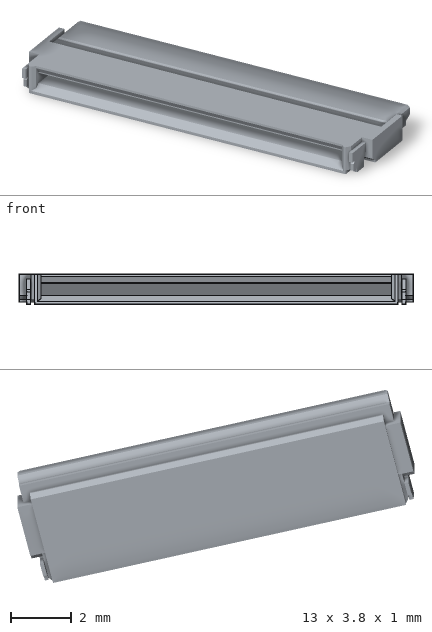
import cadquery as cq

LENGTH = 13.0
DEPTH = 3.8
HEIGHT = 1.0

HOUSING_LENGTH = 12.22
HOUSING_FLOOR = 0.14
CORNER_CUT_X = 0.12
CORNER_CUT_Y = 0.15

BASE_LENGTH = HOUSING_LENGTH - 2 * CORNER_CUT_X
BASE_TOP = 0.31
BASE_REAR = 3.24
BASE_BEVEL_Y = 0.12
BASE_BEVEL_Z = 0.23

WING_FRONT = 0.9
WING_REAR = 2.91
WING_BOTTOM = 0.08
WING_BEVEL_Y = 0.2
WING_BEVEL_BOTTOM = 0.15
WING_BEVEL_TOP = 0.3

FLAP_LENGTH = 12.57
FLAP_FRONT = 2.37
FLAP_TOP = 0.94
FLAP_EDGE_X = 0.09
FLAP_EDGE_Z = 0.08
FLAP_BEVEL_Y = 0.06
FLAP_BEVEL_Z = 0.04
FLAP_REAR_LOW = 0.6
FLAP_STEP_Y = 3.55
FLAP_STEP_Z = 0.48
RECESS_FRONT = 1.87
RECESS_FLOOR = 0.85

MOUTH_LENGTH = 11.57
MOUTH_FLOOR = 0.3
MOUTH_ROOF = 0.69
MOUTH_DEPTH = 1.82
RAMP_DEPTH = 0.27
FLARE_DEPTH = 0.12
FLARE_SIDE = 0.12
SILL_TOP = 0.1
ROOF_SETBACK = 0.12
ROOF_FLARE_DEPTH = 0.14
ROOF_FLARE_TOP = 0.73
ROOF_LIP_BOTTOM = 0.92

NAIL_CENTRE = 6.19
NAIL_THICKNESS = 0.13
NAIL_TOP = 0.85
NAIL_ROOT = 1.1
NAIL_NOTCH_TOP = 0.5
NAIL_NOTCH_Y = 0.15
NAIL_NOTCH_BOTTOM = 0.4
NAIL_LEG_FRONT = 0.08
NAIL_FOOT_FRONT = 0.31
NAIL_FOOT_TOP = 0.15
NAIL_LEG_REAR = 0.78
NAIL_REAR_CORNER = 0.06


def block(length, y_front, y_rear, z_low, z_high):
    """Box centred on X = 0."""
    size = (length, y_rear - y_front, z_high - z_low)
    return cq.Workplane("XY").box(*size, centered=(True, False, False)).translate((0, y_front, z_low))


def side_profile(points, length, centre=0.0):
    """Extrude a closed (Y, Z) outline along X, centred on the given X."""
    return cq.Workplane("YZ").polyline(points).close().extrude(length).translate((centre - length / 2, 0, 0))


def make_housing():
    body = block(HOUSING_LENGTH, 0, WING_REAR, HOUSING_FLOOR, HEIGHT)
    half = HOUSING_LENGTH / 2
    for side in (-1, 1):
        corner = (
            cq.Workplane("XY")
            .polyline([(side * half, 0), (side * (half - CORNER_CUT_X), 0), (side * half, CORNER_CUT_Y)])
            .close()
            .extrude(HEIGHT)
        )
        body = body.cut(corner)
    return body


def make_base():
    return side_profile(
        [
            (0, 0),
            (BASE_REAR - BASE_BEVEL_Y, 0),
            (BASE_REAR, BASE_BEVEL_Z),
            (BASE_REAR, BASE_TOP),
            (0, BASE_TOP),
        ],
        BASE_LENGTH,
    )


def make_wings():
    return side_profile(
        [
            (WING_FRONT, HEIGHT),
            (WING_FRONT, WING_BEVEL_TOP),
            (WING_FRONT + WING_BEVEL_Y, WING_BEVEL_BOTTOM),
            (WING_FRONT + WING_BEVEL_Y, WING_BOTTOM),
            (WING_REAR, WING_BOTTOM),
            (WING_REAR, HEIGHT),
        ],
        LENGTH,
    )


def make_flap():
    flap = side_profile(
        [
            (FLAP_FRONT, BASE_TOP),
            (FLAP_STEP_Y, BASE_TOP),
            (FLAP_STEP_Y, FLAP_STEP_Z),
            (DEPTH, FLAP_REAR_LOW),
            (DEPTH, FLAP_TOP),
            (FLAP_FRONT + FLAP_BEVEL_Y, FLAP_TOP),
            (FLAP_FRONT, FLAP_TOP - FLAP_BEVEL_Z),
        ],
        FLAP_LENGTH,
    )
    half = FLAP_LENGTH / 2
    for side in (-1, 1):
        bevel = (
            cq.Workplane("XZ")
            .polyline(
                [
                    (side * half, FLAP_TOP),
                    (side * (half - FLAP_EDGE_X), FLAP_TOP),
                    (side * half, FLAP_TOP - FLAP_EDGE_Z),
                ]
            )
            .close()
            .extrude(-DEPTH)
        )
        flap = flap.cut(bevel)
    return flap


def make_mouth():
    """Cable slot with a funnel entry that is open upward ahead of the roof lip."""
    slot = block(MOUTH_LENGTH, 0, MOUTH_DEPTH, MOUTH_FLOOR, MOUTH_ROOF)
    funnel_height = side_profile(
        [
            (0, SILL_TOP),
            (RAMP_DEPTH, MOUTH_FLOOR),
            (ROOF_SETBACK + ROOF_FLARE_DEPTH, MOUTH_FLOOR),
            (ROOF_SETBACK + ROOF_FLARE_DEPTH, ROOF_FLARE_TOP),
            (ROOF_SETBACK, ROOF_LIP_BOTTOM),
            (ROOF_SETBACK, HEIGHT),
            (0, HEIGHT),
        ],
        LENGTH,
    )
    inner = MOUTH_LENGTH / 2
    outer = inner + FLARE_SIDE
    funnel_width = (
        cq.Workplane("XY")
        .polyline(
            [
                (-outer, 0),
                (outer, 0),
                (inner, FLARE_DEPTH),
                (inner, MOUTH_DEPTH),
                (-inner, MOUTH_DEPTH),
                (-inner, FLARE_DEPTH),
            ]
        )
        .close()
        .extrude(HEIGHT)
    )
    return slot.union(funnel_height.intersect(funnel_width))


def make_nail(side):
    return side_profile(
        [
            (0, NAIL_TOP),
            (0, NAIL_NOTCH_TOP),
            (NAIL_NOTCH_Y, NAIL_NOTCH_TOP),
            (NAIL_LEG_FRONT, NAIL_NOTCH_BOTTOM),
            (NAIL_LEG_FRONT, NAIL_FOOT_TOP),
            (NAIL_FOOT_FRONT, NAIL_FOOT_TOP),
            (NAIL_FOOT_FRONT, 0),
            (NAIL_LEG_REAR, 0),
            (NAIL_LEG_REAR, NAIL_NOTCH_TOP - NAIL_REAR_CORNER),
            (NAIL_LEG_REAR + NAIL_REAR_CORNER, NAIL_NOTCH_TOP),
            (NAIL_ROOT, NAIL_NOTCH_TOP),
            (NAIL_ROOT, NAIL_TOP),
        ],
        NAIL_THICKNESS,
        side * NAIL_CENTRE,
    )


body = make_housing().union(make_base()).union(make_wings())
recess = block(FLAP_LENGTH, RECESS_FRONT, FLAP_FRONT, RECESS_FLOOR, HEIGHT)
flap_bay = block(FLAP_LENGTH, FLAP_FRONT, DEPTH, BASE_TOP, HEIGHT)
body = body.cut(recess).cut(flap_bay).union(make_flap()).cut(make_mouth())
for nail_side in (-1, 1):
    body = body.union(make_nail(nail_side))
result = body